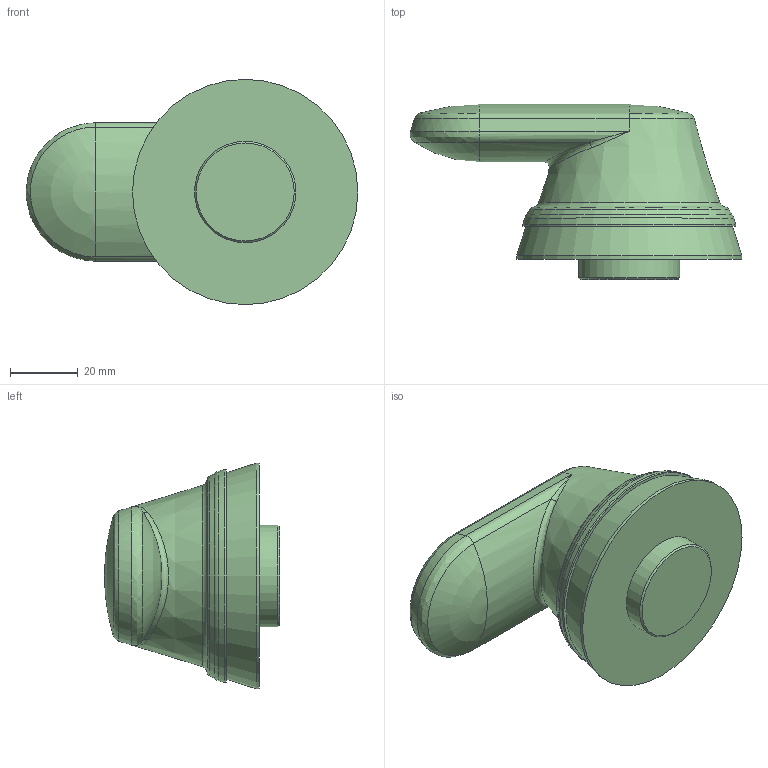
import cadquery as cq
import math


spigot_radius = 15.0
spigot_length = 6.0
spigot_chamfer = 0.5

skirt_radius = 33.33
skirt_rim_height = 0.95
skirt_top_radius = 30.55
skirt_height = 9.75

bead_radius = 31.5
bead_land_top = 10.35
bead_cone_top = (30.95, 12.15)
bead_slope_start = (30.35, 13.3)
bead_slope_end = (29.45, 14.8)
shoulder_outer_radius = 28.65
shoulder_height = 15.4

wall_draft = math.radians(17.0)
wall_gauge_radius = 20.4
wall_gauge_height = 37.8
neck_top_height = 39.0
neck_foot_fillet = 2.0

handle_length = 44.35
handle_top_height = 45.8
handle_bottom_height = 28.8
top_dome_radius = 61.0
bottom_dome_radius = 34.7
top_rim_fillet = 2.5
bottom_rim_fillet = 2.9
handle_root_fillet = 1.5

block_size = 4 * skirt_radius


def wall_radius(height):
    """Radius of the tapered wall at a given height."""
    return wall_gauge_radius + (wall_gauge_height - height) * math.tan(wall_draft)


def dome_meets_wall(pole_height, dome_radius, side):
    """Corner (radius, height) of the wall and a dome; side is 1 for the top dome, -1 for the bottom."""
    centre_height = pole_height - side * dome_radius
    base = wall_radius(centre_height)
    slope = math.tan(wall_draft)
    a = 1 + slope**2
    b = -2 * base * slope
    c = base**2 - dome_radius**2
    rise = (-b + side * math.sqrt(b**2 - 4 * a * c)) / (2 * a)
    return base - slope * rise, centre_height + rise


def dome_midpoint(pole_height, dome_radius, side, corner_radius):
    """Point on a dome halfway in angle between its pole and its corner."""
    half_angle = math.asin(corner_radius / dome_radius) / 2
    drop = dome_radius * (1 - math.cos(half_angle))
    return dome_radius * math.sin(half_angle), pole_height - side * drop


top_corner = dome_meets_wall(handle_top_height, top_dome_radius, 1)
bottom_corner = dome_meets_wall(handle_bottom_height, bottom_dome_radius, -1)
top_middle = dome_midpoint(handle_top_height, top_dome_radius, 1, top_corner[0])
bottom_middle = dome_midpoint(handle_bottom_height, bottom_dome_radius, -1, bottom_corner[0])


def revolve_about_y(profile):
    """Close a (radius, height) profile and turn it about the Y axis."""
    return profile.close().revolve(360, (0, 0, 0), (0, 1, 0))


def make_knob():
    """Spigot, skirt, bead, neck and domed top as one turned body."""
    profile = (
        cq.Workplane("XY")
        .moveTo(0, -spigot_length)
        .lineTo(spigot_radius - spigot_chamfer, -spigot_length)
        .lineTo(spigot_radius, spigot_chamfer - spigot_length)
        .lineTo(spigot_radius, 0)
        .lineTo(skirt_radius, 0)
        .lineTo(skirt_radius, skirt_rim_height)
        .lineTo(skirt_top_radius, skirt_height)
        .lineTo(bead_radius, skirt_height)
        .lineTo(bead_radius, bead_land_top)
        .lineTo(*bead_cone_top)
        .tangentArcPoint(bead_slope_start, relative=False)
        .lineTo(*bead_slope_end)
        .tangentArcPoint((shoulder_outer_radius, shoulder_height), relative=False)
    )
    fillet_reach = neck_foot_fillet * math.tan(math.pi / 4 - wall_draft / 2)
    fillet_end_height = shoulder_height + fillet_reach * math.cos(wall_draft)
    fillet_start_radius = wall_radius(shoulder_height) + fillet_reach
    profile = (
        profile.lineTo(fillet_start_radius, shoulder_height)
        .radiusArc((wall_radius(fillet_end_height), fillet_end_height), neck_foot_fillet)
        .lineTo(*top_corner)
        .threePointArc(top_middle, (0, handle_top_height))
    )
    knob = revolve_about_y(profile)
    return edges_at_height(knob, top_corner[1]).fillet(top_rim_fillet)


def make_handle_end():
    """Round end of the handle: tapered wall between two domes."""
    profile = (
        cq.Workplane("XY")
        .moveTo(0, handle_bottom_height)
        .threePointArc(bottom_middle, bottom_corner)
        .lineTo(*top_corner)
        .threePointArc(top_middle, (0, handle_top_height))
    )
    return revolve_about_y(profile)


def make_handle_bar():
    """Straight length of the handle, from the knob axis out to the round end."""
    return (
        cq.Workplane("YZ")
        .moveTo(bottom_corner[1], -bottom_corner[0])
        .threePointArc((handle_bottom_height, 0), (bottom_corner[1], bottom_corner[0]))
        .lineTo(top_corner[1], top_corner[0])
        .threePointArc((handle_top_height, 0), (top_corner[1], -top_corner[0]))
        .close()
        .extrude(-handle_length)
    )


def edges_at_height(solid, height):
    """Edges of a solid that lie wholly at one height."""
    band = 0.01
    box = cq.selectors.BoxSelector(
        (-block_size, height - band, -block_size),
        (block_size, height + band, block_size),
        boundingbox=True,
    )
    return solid.edges(box)


def make_handle():
    """Straight bar with a round end, its rims filleted all the way round."""
    handle = make_handle_bar().union(make_handle_end().translate((-handle_length, 0, 0)))
    handle = edges_at_height(handle, top_corner[1]).fillet(top_rim_fillet)
    return edges_at_height(handle, bottom_corner[1]).fillet(bottom_rim_fillet)


def block_beside_axis(direction, top_height):
    """Large block on the +X (direction 1) or -X (direction -1) side of the knob axis, up to a height."""
    block = cq.Workplane("XY").box(block_size, block_size, block_size)
    return block.translate((direction * block_size / 2, top_height - block_size / 2, 0))


def fillet_handle_root(body):
    """Round the edge where the handle's underside runs into the neck."""
    root = cq.selectors.BoxSelector(
        (-skirt_radius, handle_bottom_height - handle_root_fillet, -skirt_radius),
        (handle_root_fillet, neck_top_height, skirt_radius),
        boundingbox=True,
    )
    return body.edges(root).fillet(handle_root_fillet)


knob = make_knob()
handle_half = knob.intersect(block_beside_axis(-1, neck_top_height))
plain_half = knob.intersect(block_beside_axis(1, block_size / 2))
result = fillet_handle_root(handle_half.union(make_handle())).union(plain_half)